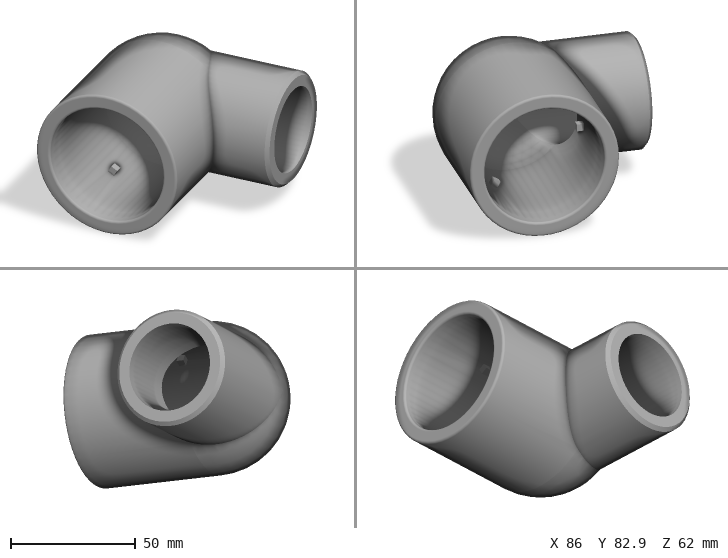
import cadquery as cq

SOCKET_OUTER_DIAMETER = 62.0
SOCKET_BORE_DIAMETER = 50.0
SOCKET_LENGTH = 51.9
SOCKET_EDGE_FILLET = 1.0

SPIGOT_OUTER_DIAMETER = 47.8
SPIGOT_BORE_DIAMETER = 35.8
SPIGOT_LENGTH = 55.0
SPIGOT_OFFSET = (SOCKET_OUTER_DIAMETER - SPIGOT_OUTER_DIAMETER) / 2
SPIGOT_CHAMFER = 1.5

STOP_COUNT = 3
STOP_WIDTH = 3.0
STOP_HEIGHT = 3.0
STOP_LENGTH = 3.0
STOP_DEPTH = 31.0
STOP_EMBED = 1.0

MOUTH_Y = -SOCKET_LENGTH


def domed_cylinder(diameter):
    """Cylinder from the socket mouth to the origin, capped by a hemisphere."""
    radius = diameter / 2
    half_section = (
        cq.Workplane("XY")
        .moveTo(0, MOUTH_Y)
        .lineTo(radius, MOUTH_Y)
        .lineTo(radius, 0)
        .radiusArc((0, radius), -radius)
        .close()
    )
    return half_section.revolve(360, (0, 0, 0), (0, 1, 0))


def spigot_cylinder(diameter):
    """Cylinder on the spigot axis, from the socket axis to the spigot end."""
    return (
        cq.Workplane("YZ")
        .center(SPIGOT_OFFSET, 0)
        .circle(diameter / 2)
        .extrude(SPIGOT_LENGTH)
    )


def outer_body():
    spigot = spigot_cylinder(SPIGOT_OUTER_DIAMETER).faces(">X").chamfer(SPIGOT_CHAMFER)
    return domed_cylinder(SOCKET_OUTER_DIAMETER).union(spigot)


def pipe_stop(angle):
    """One stop block on the socket wall, turned about the socket axis."""
    bore_radius = SOCKET_BORE_DIAMETER / 2
    stop = cq.Workplane("XY").box(
        STOP_HEIGHT + STOP_EMBED, STOP_LENGTH, STOP_WIDTH, centered=(False, False, True)
    )
    stop = stop.translate((bore_radius - STOP_HEIGHT, MOUTH_Y + STOP_DEPTH, 0))
    return stop.rotate((0, 0, 0), (0, 1, 0), angle)


def hollow_elbow():
    cavity = domed_cylinder(SOCKET_BORE_DIAMETER)
    elbow = outer_body().cut(cavity).cut(spigot_cylinder(SPIGOT_BORE_DIAMETER))
    return elbow.faces("<Y").edges().fillet(SOCKET_EDGE_FILLET)


result = hollow_elbow()
for index in range(STOP_COUNT):
    result = result.union(pipe_stop(index * 360 / STOP_COUNT))